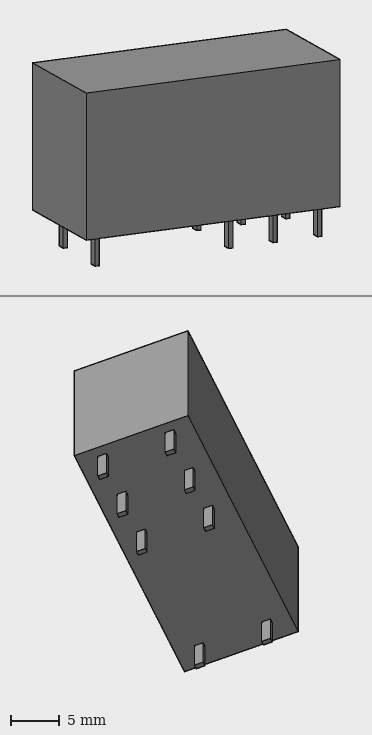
import cadquery as cq

total_height = 19.3
housing_width = 12.7
housing_length = 29.0

pin_length = 3.6
pin_width = 1.0
pin_thickness = 0.5

row_spacing = 7.5
row_offset = -0.1
contact_count = 3
contact_pitch = 5.08
coil_gap = 15.25
first_pin_y = 13.22

housing_height = total_height - pin_length

row_positions = [row_offset - row_spacing / 2, row_offset + row_spacing / 2]
contact_positions = [first_pin_y - i * contact_pitch for i in range(contact_count)]
coil_position = contact_positions[-1] - coil_gap
pin_positions = contact_positions + [coil_position]


def make_housing():
    """Plain block with its underside at Z = 0."""
    return cq.Workplane("XY").box(
        housing_width, housing_length, housing_height, centered=(True, True, False)
    )


def make_pin(x, y):
    """Rectangular blade whose top end touches the housing underside."""
    return (
        cq.Workplane("XY")
        .center(x, y)
        .rect(pin_width, pin_thickness)
        .extrude(-pin_length)
    )


housing = make_housing()
pins = [make_pin(x, y) for x in row_positions for y in pin_positions]

result = cq.Compound.makeCompound([housing.val(), *[pin.val() for pin in pins]])